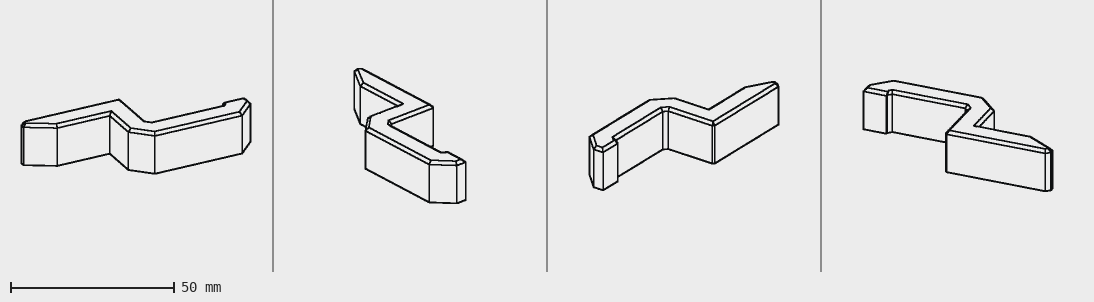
import cadquery as cq
import math

width = 26.29
length = 69.04
height = 14.0
top_bevel = 1.0

leg_width = 7.85
crossbar_bottom = 27.0
crossbar_top = 34.65
outer_corner_cut = 6.0
inner_corner_cut = 1.25
crossbar_end_cut = 0.5

tip_corner_cut = 1.25
tip_end = 2.7
tip_angle = 60.0

hook_overhang = 1.75
hook_bottom = 61.35
hook_root_cut = 1.25

leg_inner_x = width - leg_width
hook_x = leg_inner_x - hook_overhang
tip_shoulder = (leg_width - tip_end) * math.tan(math.radians(tip_angle))
hook_root_bottom = hook_bottom - hook_root_cut


def beveled_prism(outline):
    """Upright prism over a closed outline, with a 45 degree bevel around its top face."""
    prism = cq.Workplane("XY").polyline(outline).close().extrude(height)
    return prism.faces(">Z").chamfer(top_bevel)


def make_bar():
    """Z-shaped bar; the slope under the hook runs on up to the hook's outer face."""
    outline = [
        (tip_corner_cut, 0),
        (tip_end, 0),
        (leg_width, tip_shoulder),
        (leg_width, crossbar_bottom),
        (width - outer_corner_cut, crossbar_bottom),
        (width, crossbar_bottom + outer_corner_cut),
        (width, length - outer_corner_cut),
        (width - outer_corner_cut, length),
        (hook_x, length),
        (hook_x, hook_root_bottom + hook_overhang),
        (leg_inner_x, hook_root_bottom),
        (leg_inner_x, crossbar_top + inner_corner_cut),
        (leg_inner_x - inner_corner_cut, crossbar_top),
        (0, crossbar_top),
        (0, tip_corner_cut),
    ]
    return beveled_prism(outline)


def make_hook():
    """End of the upper leg, cut off square underneath so the bevel stops at the hook's flat."""
    hidden_end = hook_bottom - 2 * top_bevel
    outline = [
        (hook_x, hidden_end),
        (width, hidden_end),
        (width, length - outer_corner_cut),
        (width - outer_corner_cut, length),
        (hook_x, length),
    ]
    keep = cq.Workplane("XY").box(width, length, height, centered=False).translate((0, hook_bottom, 0))
    return beveled_prism(outline).intersect(keep)


def make_crossbar_end_cutter():
    """Waste outside the cut corner at the crossbar end, with the top bevel carried round it."""
    profile = [
        (0, 0),
        (crossbar_end_cut, 0),
        (crossbar_end_cut, height),
        (-top_bevel, height),
        (0, height - top_bevel),
    ]
    middle = (crossbar_end_cut / 2, crossbar_top - crossbar_end_cut / 2, 0)
    across_corner = cq.Plane(origin=middle, xDir=(-1, 1, 0), normal=(1, 1, 0))
    cutter_length = 4 * top_bevel
    return cq.Workplane(across_corner).polyline(profile).close().extrude(cutter_length / 2, both=True)


result = make_bar().union(make_hook()).cut(make_crossbar_end_cutter()).clean()